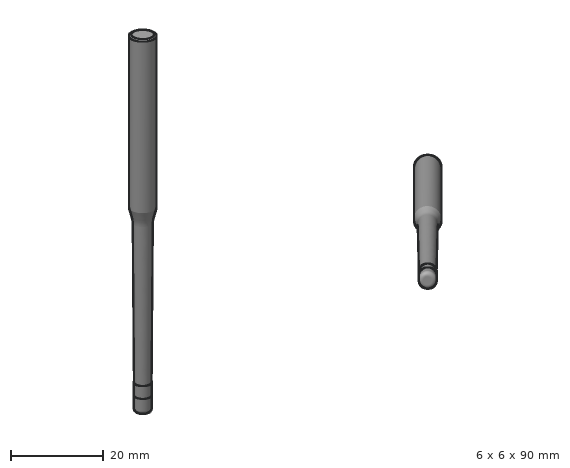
import cadquery as cq

total_length = 90.0
shank_diameter = 6.0
shank_radius = shank_diameter / 2
shank_chamfer = 0.5
shank_chamfer_height = 0.4

head_diameter = 4.0
head_radius = head_diameter / 2
corner_radius = 1.0
cutting_length = 4.0

head_top = 7.0
neck_bottom_diameter = 3.9
neck_bottom_radius = neck_bottom_diameter / 2
neck_top = 45.0
neck_top_diameter = 4.4
neck_top_radius = neck_top_diameter / 2

blend_top = 46.5
blend_top_radius = 2.4
cone_top = 48.7


def make_cutting_tip():
    """Short cylinder with a rounded lower edge."""
    tip = cq.Workplane("XY").circle(head_radius).extrude(cutting_length)
    return tip.faces("<Z").edges().fillet(corner_radius)


def make_tool_body():
    """Revolved body: plain head section, tapered neck, blend, cone and shank."""
    profile = (
        cq.Workplane("XZ")
        .moveTo(0, cutting_length)
        .lineTo(head_radius, cutting_length)
        .lineTo(head_radius, head_top)
        .lineTo(neck_bottom_radius, head_top)
        .lineTo(neck_top_radius, neck_top)
        .tangentArcPoint((blend_top_radius, blend_top), relative=False)
        .lineTo(shank_radius, cone_top)
        .lineTo(shank_radius, total_length - shank_chamfer_height)
        .lineTo(shank_radius - shank_chamfer, total_length)
        .lineTo(0, total_length)
        .close()
    )
    return profile.revolve(360, (0, 0, 0), (0, 1, 0))


cutting_tip = make_cutting_tip()
tool_body = make_tool_body()

result = cq.Compound.makeCompound([cutting_tip.val(), tool_body.val()])